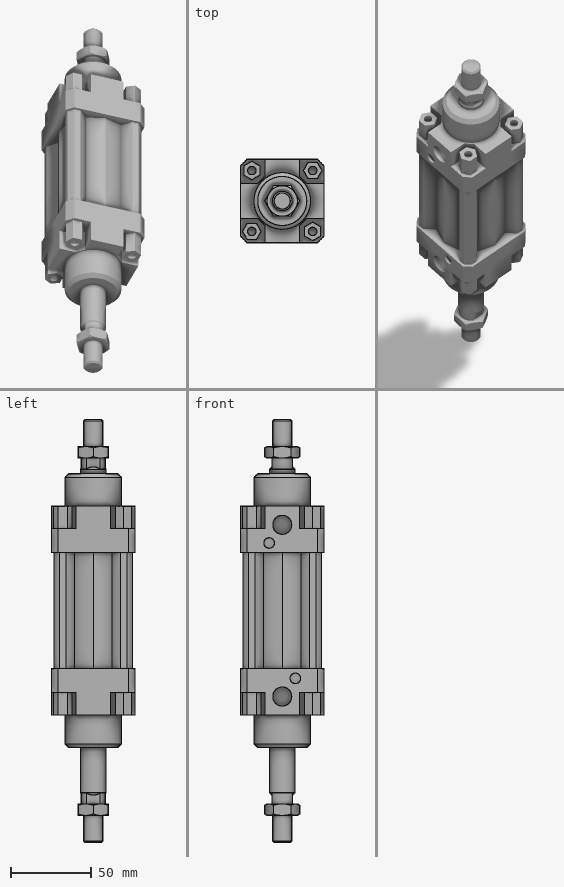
import cadquery as cq
import math


housing_mid_z = 12.5
cap_inner_z = 36.0
pocket_floor_z = 51.0
cap_outer_z = 65.0
boss_end_z = 85.2

cap_width = 52.0
cap_corner_chamfer = 4.2
pocket_wall = 10.8
pocket_corner_chamfer = 4.5
boss_diameter = 35.2
boss_chamfer = 2.4

head_offset = 19.0
head_across_flats = 10.0
head_hole_diameter = 5.3
head_hole_depth = 5.3
drill_tip_angle = 118

barrel_half_width = 24.5
barrel_corner_chamfer = 3.5
groove_half_width = 17.0
groove_depth = 5.5
ridge_height = 3.5

port_diameter = 11.8
port_depth = 10.5
port_z = 53.5
screw_diameter = 6.5
screw_depth = 1.5
screw_x = 8.2
screw_z = 42.0

rod_half_length = 131.5
rod_diameter = 16.0
rod_end_z = 100.5
rod_chamfer = 1.8
shank_diameter = 15.3
shank_across_flats = 13.0
shank_end_z = 107.5
thread_diameter = 12.0
thread_chamfer = 1.0

nut_across_flats = 19.0
nut_height = 7.0
nut_chamfer_angle = 30


def hex_diameter(across_flats):
    """Corner-to-corner size of a hexagon."""
    return across_flats / math.cos(math.radians(30))


def make_barrel():
    """Square barrel with chamfered corners and a ridged groove along each side."""
    corner = barrel_half_width - barrel_corner_chamfer
    floor_half_width = groove_half_width - groove_depth
    floor = barrel_half_width - groove_depth
    side = [
        (-corner, -barrel_half_width),
        (-groove_half_width, -barrel_half_width),
        (-floor_half_width, -floor),
        (0, -floor - ridge_height),
        (floor_half_width, -floor),
        (groove_half_width, -barrel_half_width),
        (corner, -barrel_half_width),
    ]
    outline = []
    for quarter in range(4):
        cosine = round(math.cos(quarter * math.pi / 2))
        sine = round(math.sin(quarter * math.pi / 2))
        outline += [(x * cosine - y * sine, x * sine + y * cosine) for x, y in side]
    return cq.Workplane("XY").polyline(outline).close().extrude(cap_inner_z, both=True)


def make_corner_pocket():
    """Tool for the open pocket in the +X +Y corner of a cap."""
    size = cap_width / 2
    return (
        cq.Workplane("XY", origin=(pocket_wall, pocket_wall, pocket_floor_z))
        .rect(size, size, centered=False)
        .extrude(cap_outer_z - pocket_floor_z)
        .edges("|Z and <X and <Y")
        .chamfer(pocket_corner_chamfer)
    )


def make_tie_rod_head(x, y, turn):
    """Hexagonal head with a drilled hole that ends in a cone."""
    top = cap_outer_z - pocket_floor_z
    head = cq.Workplane("XY").polygon(6, hex_diameter(head_across_flats)).extrude(top)
    hole_radius = head_hole_diameter / 2
    tip_height = hole_radius / math.tan(math.radians(drill_tip_angle / 2))
    drill = (
        cq.Workplane("XZ")
        .moveTo(0, top)
        .lineTo(hole_radius, top)
        .lineTo(hole_radius, top - head_hole_depth)
        .lineTo(0, top - head_hole_depth - tip_height)
        .close()
        .revolve(360, (0, 0), (0, 1))
    )
    head = head.cut(drill)
    return head.rotate((0, 0, 0), (0, 0, 1), turn).translate((x, y, pocket_floor_z))


def make_cap():
    """Upper end cap with corner pockets, tie-rod heads and boss."""
    cap = (
        cq.Workplane("XY", origin=(0, 0, cap_inner_z))
        .rect(cap_width, cap_width)
        .extrude(cap_outer_z - cap_inner_z)
        .edges("|Z")
        .chamfer(cap_corner_chamfer)
    )
    pocket = make_corner_pocket()
    for quarter in range(4):
        cap = cap.cut(pocket.rotate((0, 0, 0), (0, 0, 1), 90 * quarter))
    for x_side in (-1, 1):
        for y_side in (-1, 1):
            turn = 0 if x_side == y_side else 90
            cap = cap.union(make_tie_rod_head(x_side * head_offset, y_side * head_offset, turn))
    boss = (
        cq.Workplane("XY", origin=(0, 0, cap_inner_z))
        .circle(boss_diameter / 2)
        .extrude(boss_end_z - cap_inner_z)
        .faces(">Z")
        .chamfer(boss_chamfer)
    )
    return cap.union(boss)


def make_side_hole(x, z, diameter, depth):
    """Tool for a flat-bottomed hole going in from the -Y side."""
    return cq.Workplane("XZ", origin=(x, -cap_width / 2, z)).circle(diameter / 2).extrude(-depth)


def make_housing():
    """Barrel with both end caps, their ports and the bore for the rod."""
    cap = make_cap()
    housing = make_barrel().union(cap).union(cap.mirror("XY"))
    for end in (-1, 1):
        housing = housing.cut(make_side_hole(0, end * port_z, port_diameter, port_depth))
        housing = housing.cut(make_side_hole(-end * screw_x, end * screw_z, screw_diameter, screw_depth))
    bore = cq.Workplane("XY").circle(rod_diameter / 2).extrude(boss_end_z, both=True)
    return housing.cut(bore).translate((0, 0, housing_mid_z))


def make_rod_end():
    """Upper end of the rod: shank with two wrench flats, then the thread."""
    shank = (
        cq.Workplane("XY", origin=(0, 0, rod_end_z))
        .circle(shank_diameter / 2)
        .extrude(shank_end_z - rod_end_z)
    )
    between_flats = cq.Workplane("XY").box(shank_across_flats, rod_diameter, 2 * rod_half_length)
    thread = (
        cq.Workplane("XY", origin=(0, 0, rod_end_z))
        .circle(thread_diameter / 2)
        .extrude(rod_half_length - rod_end_z)
        .faces(">Z")
        .chamfer(thread_chamfer)
    )
    return shank.intersect(between_flats).union(thread)


def make_rod():
    """Through rod; the chamfers of its full diameter run into the wrench flats."""
    rod = (
        cq.Workplane("XY")
        .circle(rod_diameter / 2)
        .extrude(rod_end_z + rod_chamfer, both=True)
        .faces("<Z or >Z")
        .chamfer(rod_chamfer)
    )
    end = make_rod_end()
    return rod.union(end).union(end.mirror("XY"))


def make_lock_nut(end):
    """Hexagon nut against the shoulder of one rod end, chamfered on both faces."""
    corner_radius = hex_diameter(nut_across_flats) / 2
    face_radius = nut_across_flats / 2
    chamfer_height = (corner_radius - face_radius) * math.tan(math.radians(nut_chamfer_angle))
    chamfered_disc = (
        cq.Workplane("XY")
        .circle(corner_radius)
        .extrude(nut_height)
        .faces("<Z or >Z")
        .chamfer(chamfer_height, corner_radius - face_radius)
    )
    nut = cq.Workplane("XY").polygon(6, 2 * corner_radius).extrude(nut_height).intersect(chamfered_disc)
    nut = nut.cut(cq.Workplane("XY").circle(thread_diameter / 2).extrude(nut_height))
    bottom_z = shank_end_z if end > 0 else -shank_end_z - nut_height
    return nut.translate((0, 0, bottom_z))


housing = make_housing()
rod = make_rod()
lock_nuts = [make_lock_nut(end) for end in (-1, 1)]

result = cq.Compound.makeCompound([housing.val(), rod.val(), *[nut.val() for nut in lock_nuts]])